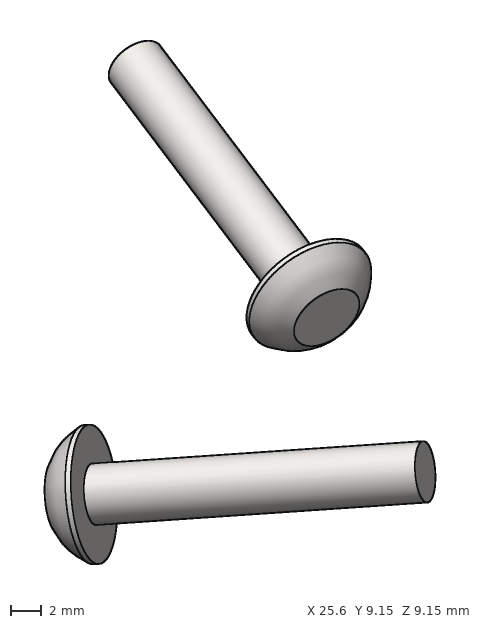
import cadquery as cq
import math

total_length = 25.58
shank_diameter = 4.05
head_diameter = 9.15
head_height = 2.58
rim_thickness = 0.38
crown_flat_diameter = 4.9
dome_radius = 4.9

shank_radius = shank_diameter / 2
rim_radius = head_diameter / 2
flat_radius = crown_flat_diameter / 2
head_start = total_length - head_height
rim_end = head_start + rim_thickness

chord_x = total_length - rim_end
chord_y = flat_radius - rim_radius
chord_length = math.hypot(chord_x, chord_y)
bulge = dome_radius - math.sqrt(dome_radius**2 - (chord_length / 2) ** 2)
dome_middle = (
    (rim_end + total_length) / 2 - bulge * chord_y / chord_length,
    (rim_radius + flat_radius) / 2 + bulge * chord_x / chord_length,
)

profile = (
    cq.Workplane("XY")
    .moveTo(0, 0)
    .lineTo(0, shank_radius)
    .lineTo(head_start, shank_radius)
    .lineTo(head_start, rim_radius)
    .lineTo(rim_end, rim_radius)
    .threePointArc(dome_middle, (total_length, flat_radius))
    .lineTo(total_length, 0)
    .close()
)
result = profile.revolve(360, (0, 0, 0), (1, 0, 0))